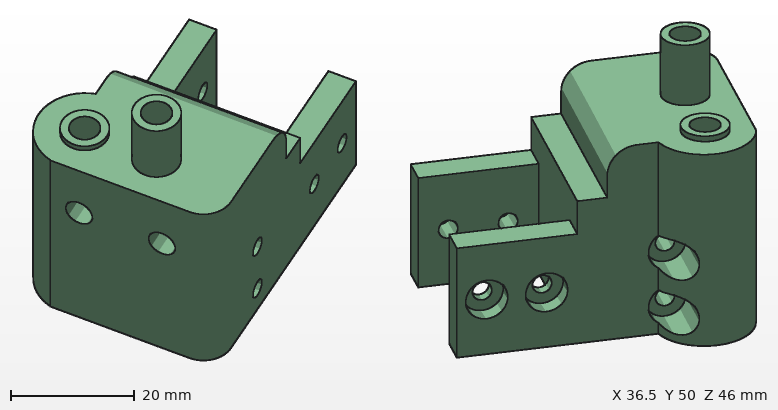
import cadquery as cq
import math

body_width = 30.2
total_length = 50
body_height = 35
total_height = 46
arm_thickness = 5
arm_height = 20
arm_length = 20.1
ledge_height = 26
ledge_depth = 5
round_radius = 5

post_y = 8
short_post_x = 2.2
post_spacing = 13
tall_post_x = short_post_x + post_spacing
lobe_radius = 8.45
lobe_y = 8.2
short_post_height = 1
tall_post_height = total_height - body_height
post_diameter = 8
post_bore_diameter = 5.1
pilot_diameter = 4.3
post_bore_depth = 10
pilot_depth = 2
drill_point_angle = 118
cone_height = pilot_diameter / 2 / math.tan(math.radians(drill_point_angle / 2))

screw_diameter = 3.2
head_diameter = 7
head_depth = 3
arm_hole_ys = (35, 45)
arm_hole_z = arm_height / 2
body_hole_y = 14.5
body_hole_zs = (5, 15)
front_hole_diameter = 4.8
front_hole_depth = 5
front_hole_count = 2
front_hole_spacing = 15
front_hole_first_x = 5.2
front_hole_z = 25

ledge_back_y = total_length - arm_length
body_back_y = ledge_back_y - ledge_depth


def stepped_body():
    """Side profile extruded across the width, with its front right corner rounded."""
    profile = (
        cq.Workplane("YZ")
        .lineTo(total_length, 0)
        .lineTo(total_length, arm_height)
        .lineTo(ledge_back_y, arm_height)
        .lineTo(ledge_back_y, ledge_height)
        .lineTo(body_back_y, ledge_height)
        .lineTo(body_back_y, body_height - round_radius)
        .radiusArc((body_back_y - round_radius, body_height), -round_radius)
        .lineTo(0, body_height)
        .close()
    )
    block = profile.extrude(body_width)
    return block.edges("|Z and >X and <Y").fillet(round_radius)


def lobe():
    """Upright cylinder on the left, trimmed flush with the front face."""
    cylinder = cq.Workplane("XY").center(short_post_x, lobe_y).circle(lobe_radius).extrude(body_height)
    trim = cq.Workplane("XY").box(
        4 * lobe_radius, 2 * lobe_radius, body_height, centered=(True, False, False)
    )
    return cylinder.intersect(trim)


def post(x, height):
    return (
        cq.Workplane("XY", origin=(x, post_y, body_height))
        .circle(post_diameter / 2)
        .extrude(height)
    )


def post_bore(x, height):
    """Stepped blind bore ending in a cone, measured down from the post top."""
    bore_radius = post_bore_diameter / 2
    pilot_radius = pilot_diameter / 2
    pilot_bottom = -post_bore_depth - pilot_depth
    return (
        cq.Workplane("XZ", origin=(x, post_y, body_height + height))
        .lineTo(bore_radius, 0)
        .lineTo(bore_radius, -post_bore_depth)
        .lineTo(pilot_radius, -post_bore_depth)
        .lineTo(pilot_radius, pilot_bottom)
        .lineTo(0, pilot_bottom - cone_height)
        .close()
        .revolve(360, (0, 0, 0), (0, 1, 0))
    )


def side_screw_hole(y, z):
    """Through hole along X whose head recess is open toward the left."""
    reach = 2 * lobe_radius
    shank = cq.Workplane("YZ", origin=(0, y, z)).circle(screw_diameter / 2).extrude(body_width)
    head = (
        cq.Workplane("YZ", origin=(-reach, y, z))
        .circle(head_diameter / 2)
        .extrude(reach + head_depth)
    )
    return shank.union(head)


def front_hole(x):
    return (
        cq.Workplane("XZ", origin=(x, 0, front_hole_z))
        .circle(front_hole_diameter / 2)
        .extrude(-front_hole_depth)
    )


result = stepped_body().union(lobe())

arm_gap = cq.Workplane("XY", origin=(arm_thickness, ledge_back_y, 0)).box(
    body_width - 2 * arm_thickness, arm_length, arm_height, centered=False
)
result = result.cut(arm_gap)

for post_x, post_height in (
    (short_post_x, short_post_height),
    (tall_post_x, tall_post_height),
):
    result = result.union(post(post_x, post_height))
    result = result.cut(post_bore(post_x, post_height))

for hole_y in arm_hole_ys:
    result = result.cut(side_screw_hole(hole_y, arm_hole_z))
for hole_z in body_hole_zs:
    result = result.cut(side_screw_hole(body_hole_y, hole_z))

for index in range(front_hole_count):
    result = result.cut(front_hole(front_hole_first_x + index * front_hole_spacing))